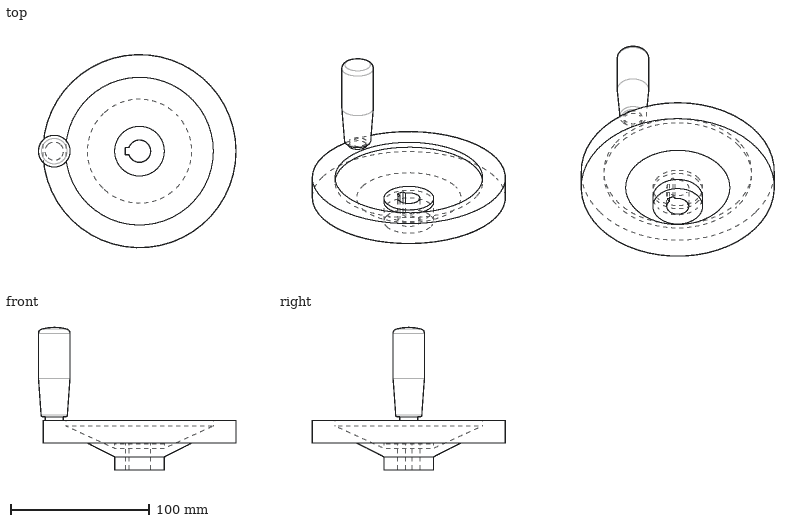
import cadquery as cq
import math

rim_radius = 70.0
rim_inner_radius = 53.5
rim_bottom = 19.5
rim_top = 36.0
rim_lip_depth = 4.0

hub_radius = 18.0
hub_top = 19.0
hub_collar_height = 3.2
web_outer_radius = 37.75
web_bottom = 9.5

bore_diameter = 16.0
keyway_width = 5.0
keyway_reach = 10.3

handle_offset = 61.75
stem_radius = 6.6
grip_radius = 11.5
grip_end_radius = 9.5
grip_bottom = 38.5
grip_length = 65.0
grip_top = grip_bottom + grip_length
taper_length = 28.0
grip_end_fillet = 1.5
dome_radius = 32.0
dome_edge_fillet = 3.2


def make_wheel():
    """Rim, dished web and hub turned as one profile about Z."""
    profile = (
        cq.Workplane("XZ")
        .moveTo(0, 0)
        .lineTo(hub_radius, 0)
        .lineTo(hub_radius, web_bottom)
        .lineTo(web_outer_radius, rim_bottom)
        .lineTo(rim_radius, rim_bottom)
        .lineTo(rim_radius, rim_top)
        .lineTo(rim_inner_radius, rim_top)
        .lineTo(rim_inner_radius, rim_top - rim_lip_depth)
        .lineTo(hub_radius, hub_top - hub_collar_height)
        .lineTo(hub_radius, hub_top)
        .lineTo(0, hub_top)
        .close()
    )
    return profile.revolve(360, (0, 0, 0), (0, 1, 0))


def make_bore():
    """Through bore with a keyway on its -X side."""
    bore = cq.Workplane("XY").circle(bore_diameter / 2).extrude(hub_top)
    keyway = (
        cq.Workplane("XY")
        .center(-keyway_reach / 2, 0)
        .rect(keyway_reach, keyway_width)
        .extrude(hub_top)
    )
    return bore.union(keyway)


def make_handle():
    """Stem and grip, with a conical taper below and a domed end above."""
    taper_top = grip_bottom + taper_length
    dome_edge = grip_top - dome_radius + math.sqrt(dome_radius**2 - grip_radius**2)
    grip = (
        cq.Workplane("XZ")
        .moveTo(0, grip_bottom)
        .lineTo(grip_end_radius, grip_bottom)
        .lineTo(grip_radius, taper_top)
        .lineTo(grip_radius, dome_edge)
        .radiusArc((0, grip_top), -dome_radius)
        .close()
        .revolve(360, (0, 0, 0), (0, 1, 0))
    )
    grip = grip.faces("<Z").edges().fillet(grip_end_fillet)
    edge_ring = cq.selectors.BoxSelector(
        (-grip_radius, -grip_radius, dome_edge - dome_edge_fillet / 2),
        (grip_radius, grip_radius, dome_edge + dome_edge_fillet / 2),
    )
    grip = grip.edges(edge_ring).edges("%CIRCLE").fillet(dome_edge_fillet)
    stem = (
        cq.Workplane("XY")
        .workplane(offset=rim_bottom)
        .circle(stem_radius)
        .extrude(grip_bottom - rim_bottom)
    )
    return grip.union(stem).translate((-handle_offset, 0, 0))


result = make_wheel().cut(make_bore()).union(make_handle())